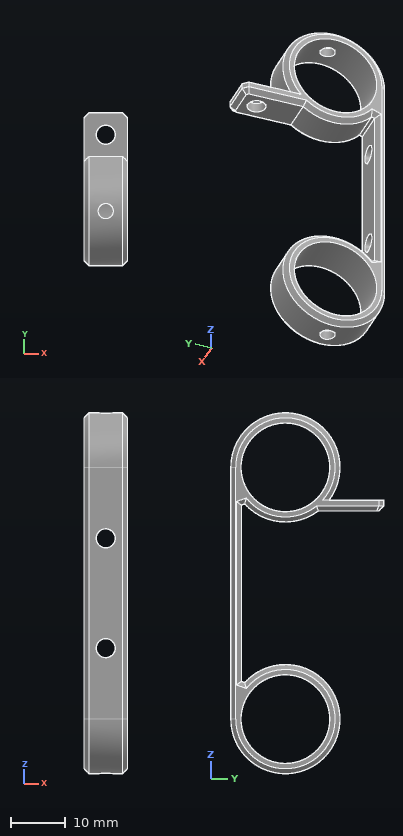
import cadquery as cq
import math

height = 66.0
width = 8.0
depth = 28.0

ring_diameter = 20.0
ring_radius = ring_diameter / 2
bore_diameter = 16.2
ring_offset = height / 2 - ring_radius
wall = 2.0
edge_chamfer = 0.9
crook_leg = 0.9
crook_overlap = 0.65
tab_top_drop = 6.0

screw_diameter = 3.4
strip_hole_offset = 10.0
tab_hole_inset = 4.0
ring_hole_diameter = 2.8

tab_end = depth - ring_radius
tab_top = ring_offset - tab_top_drop


def make_strip():
    """Flat strip between the ring axes, with its four long edges chamfered."""
    strip = cq.Workplane("XY").box(width, wall, 2 * ring_offset)
    strip = strip.edges("|Z").chamfer(edge_chamfer)
    return strip.translate((0, -ring_radius + wall / 2, 0))


def make_ring_blank():
    """Upper ring before boring, with chamfered rims."""
    return ring_cylinder(ring_diameter, ring_offset).edges().chamfer(edge_chamfer)


def make_crook():
    """Wedge that fills the corner between the upper ring and the strip, ending in a chamfered bevel."""
    strip_back = -ring_radius + wall
    corner_angle = math.acos(-strip_back / ring_radius)
    ring_angle = corner_angle + crook_leg / ring_radius
    ring_y = -ring_radius * math.cos(ring_angle)
    ring_z = -ring_radius * math.sin(ring_angle)
    strip_z = -ring_radius * math.sin(corner_angle) - crook_leg
    slope = (ring_z - strip_z) / (ring_y - strip_back)

    outer_y = -ring_radius + edge_chamfer
    inner_y = ring_y + crook_overlap
    outline = [
        (outer_y, 0),
        (outer_y, strip_z + slope * (outer_y - strip_back)),
        (inner_y, ring_z + slope * crook_overlap),
        (inner_y, 0),
    ]
    wedge = cq.Workplane("YZ").polyline(outline).close().extrude(width / 2, both=True)
    wedge = wedge.faces("<Z").edges("<X or >X").chamfer(edge_chamfer)
    return wedge.translate((0, 0, ring_offset))


def make_tab():
    """Flat tab with clipped end corners and a chamfered lower rim."""
    tab = cq.Workplane("XY").box(width, tab_end, wall, centered=(True, False, False))
    tab = tab.edges("|Z and >Y").chamfer(edge_chamfer)
    tab = tab.faces("<Z").edges("not <Y").chamfer(edge_chamfer)
    return tab.translate((0, 0, tab_top - wall))


def ring_cylinder(diameter, z):
    """Cylinder along X across the full width, centred on a ring axis at height z."""
    return cq.Workplane("YZ").center(0, z).circle(diameter / 2).extrude(width / 2, both=True)


upper_end = make_ring_blank().union(make_crook())
result = make_strip().union(upper_end).union(upper_end.mirror("XY")).union(make_tab())

for side in (1, -1):
    result = result.cut(ring_cylinder(bore_diameter, side * ring_offset))

    radial_hole = (
        cq.Workplane("XY")
        .workplane(offset=side * ring_offset)
        .circle(ring_hole_diameter / 2)
        .extrude(side * ring_diameter)
    )
    result = result.cut(radial_hole)

    strip_hole = (
        cq.Workplane("XZ")
        .center(0, side * strip_hole_offset)
        .circle(screw_diameter / 2)
        .extrude(ring_diameter)
    )
    result = result.cut(strip_hole)

tab_hole = (
    cq.Workplane("XY")
    .workplane(offset=tab_top - wall)
    .center(0, tab_end - tab_hole_inset)
    .circle(screw_diameter / 2)
    .extrude(wall)
)
result = result.cut(tab_hole)